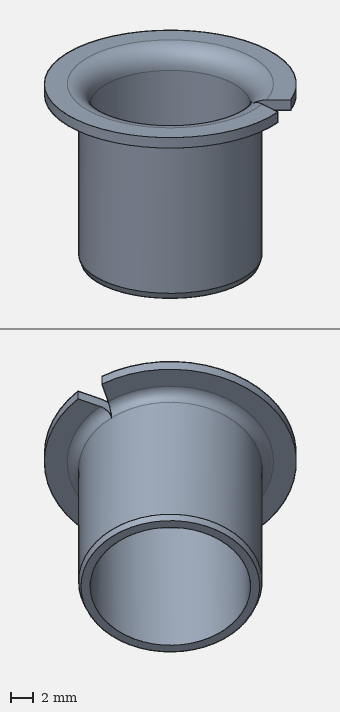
import cadquery as cq
import math

flange_radius = 10.98
height = 17.0
wall = 1.0
barrel_radius = 8.0
under_flange_radius = 0.99
chamfer_height = 0.6
chamfer_angle = 20.0
notch_half_angle = 25.0

bore_radius = barrel_radius - wall
mouth_radius = under_flange_radius + wall
chamfer_width = chamfer_height * math.tan(math.radians(chamfer_angle))
flange_bottom = height - wall
bend_center_r = barrel_radius + under_flange_radius
bend_center_z = flange_bottom - under_flange_radius
arc_45 = math.sqrt(0.5)


def bend_midpoint(radius):
    """Middle of a quarter bend, facing the axis and the top of the flange."""
    return (bend_center_r - radius * arc_45, bend_center_z + radius * arc_45)


def flanged_bush():
    """Revolve the wall section (radius, z) about the Z axis."""
    section = (
        cq.Workplane("XZ")
        .moveTo(bore_radius, 0)
        .lineTo(barrel_radius - chamfer_width, 0)
        .lineTo(barrel_radius, chamfer_height)
        .lineTo(barrel_radius, bend_center_z)
        .threePointArc(bend_midpoint(under_flange_radius), (bend_center_r, flange_bottom))
        .lineTo(flange_radius, flange_bottom)
        .lineTo(flange_radius, height)
        .lineTo(bend_center_r, height)
        .threePointArc(bend_midpoint(mouth_radius), (bore_radius, bend_center_z))
        .close()
    )
    return section.revolve(360, (0, 0), (0, 1))


def flange_notch():
    """V-shaped wedge with its apex on the barrel surface, opening toward +X."""
    reach = flange_radius - barrel_radius
    half_width = reach * math.tan(math.radians(notch_half_angle))
    return (
        cq.Workplane("XY")
        .moveTo(barrel_radius, 0)
        .lineTo(flange_radius, half_width)
        .lineTo(flange_radius, -half_width)
        .close()
        .extrude(height)
    )


result = flanged_bush().cut(flange_notch())